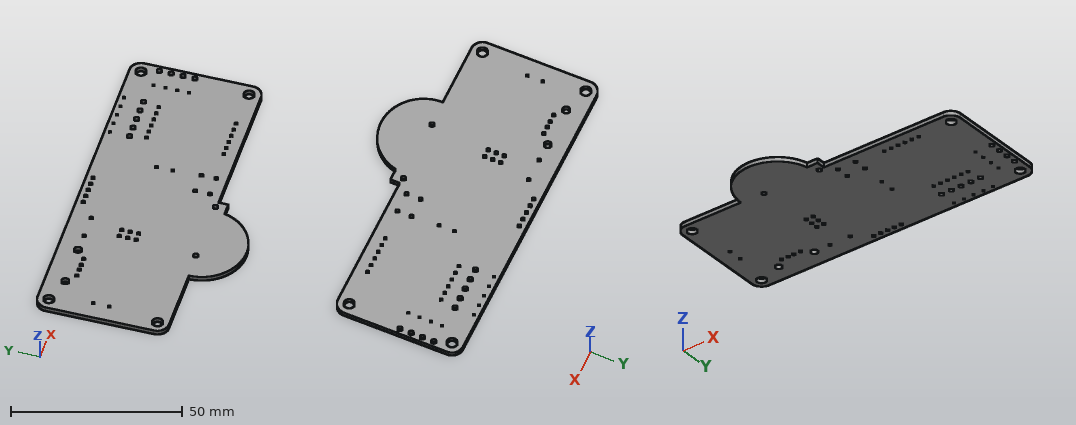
import cadquery as cq
import math


thickness = 1.6
board_length = 102.36
board_width = 40.0
corner_radius = 3.5

tongue_radius = 13.59
tongue_center_x = 37.62
tab_right = 54.72
tab_depth = 3.0

mounting_diameter = 3.2
usb_shell_diameter = 2.3
power_diameter = 1.5
switch_diameter = 1.1
header_diameter = 1.0
usb_pin_diameter = 0.95
fine_pin_diameter = 0.8
via_diameter = 0.6

mounting_inset = 3.48
lower_right_mounting_lift = 0.17
header_pitch = 2.54
power_pitch = 3.6
crystal_pitch = 4.9
two_pin_pitch = 7.46
usb_shell_pitch = 13.14
usb_outer_pitch = 7.0
usb_inner_pitch = 2.0
switch_pitch_x = 6.5
switch_pitch_y = 4.5
cell_pitch = 20.4

edge_header_center = (48.87, 37.9)
block_header_center = (34.89, 21.39)
usb_center_x = 18.36
usb_shell_y = 33.96
usb_pin_y = 31.34
two_pin_center = (34.54, 33.82)
left_crystal_center = (5.57, 21.22)
middle_crystal_center = (63.35, 18.9)
upper_module_center = (80.25, 27.53)
lower_module_center = (80.25, 4.0)
switch_center = (60.54, 5.6)
cell_center = (42.58, 0.33)
top_terminal_x = 80.26
top_power_y = 32.39
top_via_y = 38.38
side_terminal_y = 26.06
side_power_x = 100.68
side_via_x = 94.72


def make_board():
    board = (
        cq.Workplane("XY")
        .box(board_length, board_width, thickness, centered=False)
        .edges("|Z")
        .fillet(corner_radius)
    )
    tongue_left = tongue_center_x - tongue_radius
    arc_end_x = tongue_center_x + math.sqrt(tongue_radius**2 - tab_depth**2)
    overlap_y = board_width / 2
    tongue = (
        cq.Workplane("XY")
        .moveTo(tongue_left, overlap_y)
        .lineTo(tongue_left, 0)
        .threePointArc((tongue_center_x, -tongue_radius), (arc_end_x, -tab_depth))
        .lineTo(tab_right, -tab_depth)
        .lineTo(tab_right, overlap_y)
        .close()
        .extrude(thickness)
    )
    return board.union(tongue)


def drill(body, points, diameter):
    """Through holes at the given points."""
    drills = cq.Workplane("XY").pushPoints(points).circle(diameter / 2).extrude(thickness)
    return body.cut(drills)


def grid(center, columns, rows, pitch_x, pitch_y):
    """Points of an evenly spaced rectangular grid around a center."""
    left = center[0] - (columns - 1) * pitch_x / 2
    bottom = center[1] - (rows - 1) * pitch_y / 2
    return [
        (left + column * pitch_x, bottom + row * pitch_y)
        for column in range(columns)
        for row in range(rows)
    ]


def row_along_x(center, count, pitch):
    return grid(center, count, 1, pitch, 0)


def row_along_y(center, count, pitch):
    return grid(center, 1, count, 0, pitch)


def drill_mounting_holes(body):
    """One hole per corner; the lower right one sits slightly higher than the lower left one."""
    left = mounting_inset
    right = board_length - mounting_inset
    bottom = mounting_inset
    top = board_width - mounting_inset
    corners = [(left, bottom), (left, top), (right, top)]
    corners.append((right, bottom + lower_right_mounting_lift))
    return drill(body, corners, mounting_diameter)


def drill_headers(body):
    body = drill(body, row_along_x(edge_header_center, 5, header_pitch), header_diameter)
    block = grid(block_header_center, 2, 3, header_pitch, header_pitch)
    body = drill(body, block, header_diameter)
    return drill(body, row_along_x(two_pin_center, 2, two_pin_pitch), header_diameter)


def drill_usb_socket(body):
    shell = row_along_x((usb_center_x, usb_shell_y), 2, usb_shell_pitch)
    body = drill(body, shell, usb_shell_diameter)
    for pitch in (usb_outer_pitch, usb_inner_pitch):
        pins = row_along_x((usb_center_x, usb_pin_y), 2, pitch)
        body = drill(body, pins, usb_pin_diameter)
    return body


def drill_fine_pins(body):
    for center in (left_crystal_center, middle_crystal_center):
        body = drill(body, row_along_y(center, 2, crystal_pitch), fine_pin_diameter)
    for center in (upper_module_center, lower_module_center):
        body = drill(body, row_along_x(center, 6, header_pitch), fine_pin_diameter)
    return body


def drill_terminals(body):
    """Power terminals along the top and right edges, each with a row of vias."""
    for y, diameter in ((top_power_y, power_diameter), (top_via_y, via_diameter)):
        body = drill(body, row_along_x((top_terminal_x, y), 5, power_pitch), diameter)
    for x, diameter in ((side_power_x, power_diameter), (side_via_x, via_diameter)):
        body = drill(body, row_along_y((x, side_terminal_y), 4, power_pitch), diameter)
    return body


def drill_switch_and_cell(body):
    switch = grid(switch_center, 2, 2, switch_pitch_x, switch_pitch_y)
    body = drill(body, switch, switch_diameter)
    return drill(body, row_along_x(cell_center, 2, cell_pitch), power_diameter)


result = make_board()
result = drill_mounting_holes(result)
result = drill_headers(result)
result = drill_usb_socket(result)
result = drill_fine_pins(result)
result = drill_terminals(result)
result = drill_switch_and_cell(result)